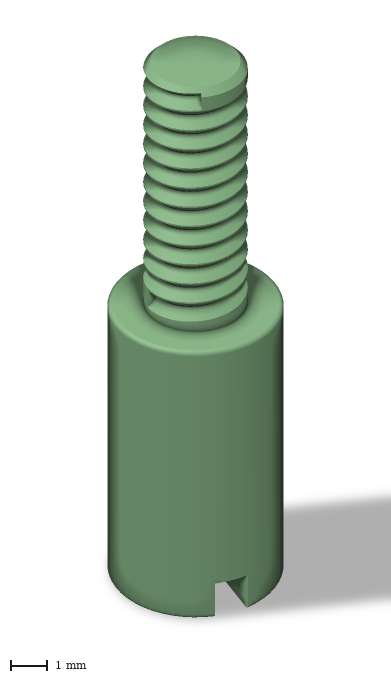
import cadquery as cq

total_length = 16.79
head_diameter = 4.79
head_length = 8.83
head_edge_radius = 0.13

shank_diameter = 2.84
root_diameter = 2.27
tip_chamfer = 0.2

groove_start_height = 9.35
groove_width = 0.59
crest_land = 0.047
thread_pitch = groove_width + crest_land
thread_turns = 11.2
cutter_overhang = 0.02

slot_width = 0.97
slot_depth = 1.15


def make_head():
    head = cq.Workplane("XY").circle(head_diameter / 2).extrude(head_length)
    return head.edges("%CIRCLE").fillet(head_edge_radius)


def make_shank():
    shank = (
        cq.Workplane("XY")
        .workplane(offset=head_length)
        .circle(shank_diameter / 2)
        .extrude(total_length - head_length)
    )
    return shank.faces(">Z").chamfer(tip_chamfer)


def make_thread_cutter():
    """V-shaped groove whose flanks carry on just past the shank surface."""
    root_radius = root_diameter / 2
    groove_depth = (shank_diameter - root_diameter) / 2
    cutter_depth = groove_depth + cutter_overhang
    outer_radius = root_radius + cutter_depth
    half_width = groove_width / 2 * cutter_depth / groove_depth
    profile = [
        (root_radius, 0),
        (outer_radius, half_width),
        (outer_radius, -half_width),
    ]
    helix = cq.Wire.makeHelix(thread_pitch, thread_pitch * thread_turns, root_radius)
    cutter = cq.Workplane("XZ").polyline(profile).close().sweep(cq.Workplane(helix), isFrenet=True)
    return cutter.rotate((0, 0, 0), (0, 0, 1), -90).translate((0, 0, groove_start_height))


def make_slot():
    return cq.Workplane("XY").box(head_diameter, slot_width, slot_depth, centered=(True, True, False))


shank = make_shank().cut(make_thread_cutter())
head = make_head().cut(make_slot())
result = head.union(shank)